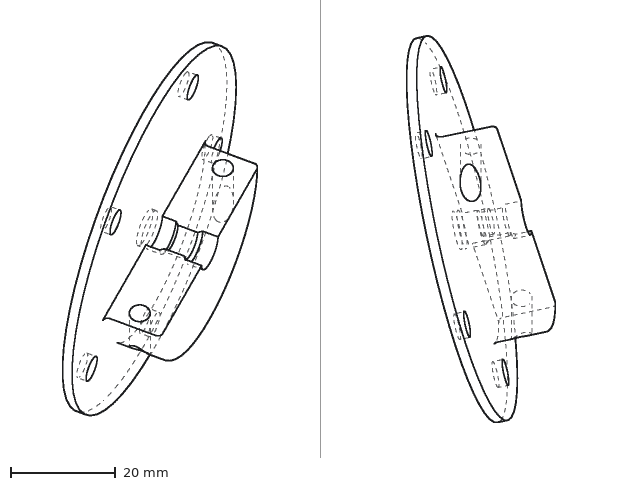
import cadquery as cq

plate_diameter = 75.0
plate_thickness = 2.0
bolt_circle_radius = 30.0
bolt_hole_diameter = 5.0
bolt_hole_count = 5
recess_diameter = 7.5
recess_depth = 1.0

total_depth = 13.7
block_radius = 22.5
edge_radius = 1.0
pin_hole_diameter = 4.0
pin_hole_offset = 19.0
pin_hole_x = 7.7

groove_radius = 3.75
neck_radius = 3.1
neck_start = 5.6
neck_end = 9.75
neck_taper_length = 0.75


def make_plate():
    plate = cq.Workplane("YZ").circle(plate_diameter / 2).extrude(plate_thickness)
    bolt_holes = (
        cq.Workplane("YZ")
        .polarArray(bolt_circle_radius, -90, 360, bolt_hole_count)
        .circle(bolt_hole_diameter / 2)
        .extrude(plate_thickness)
    )
    recess = cq.Workplane("YZ").circle(recess_diameter / 2).extrude(recess_depth)
    return plate.cut(bolt_holes).cut(recess)


def make_block():
    """Revolve the rounded rim and the flared root, then keep the lower half."""
    profile = (
        cq.Workplane("XY")
        .moveTo(plate_thickness, 0)
        .lineTo(plate_thickness, block_radius + edge_radius)
        .radiusArc((plate_thickness + edge_radius, block_radius), -edge_radius)
        .lineTo(total_depth - edge_radius, block_radius)
        .radiusArc((total_depth, block_radius - edge_radius), edge_radius)
        .lineTo(total_depth, 0)
        .close()
    )
    return profile.revolve(180, (0, 0, 0), (-1, 0, 0))


def make_groove():
    """Full round cutter, narrowed to a neck between two tapers."""
    return (
        cq.Workplane("XY")
        .moveTo(plate_thickness, 0)
        .lineTo(plate_thickness, groove_radius)
        .lineTo(neck_start - neck_taper_length, groove_radius)
        .lineTo(neck_start, neck_radius)
        .lineTo(neck_end, neck_radius)
        .lineTo(neck_end + neck_taper_length, groove_radius)
        .lineTo(total_depth, groove_radius)
        .lineTo(total_depth, 0)
        .close()
        .revolve(360, (0, 0, 0), (1, 0, 0))
    )


def make_pin_holes():
    return (
        cq.Workplane("XY")
        .pushPoints([(pin_hole_x, -pin_hole_offset), (pin_hole_x, pin_hole_offset)])
        .circle(pin_hole_diameter / 2)
        .extrude(-block_radius)
    )


block = make_block().cut(make_groove()).cut(make_pin_holes())
result = make_plate().union(block)